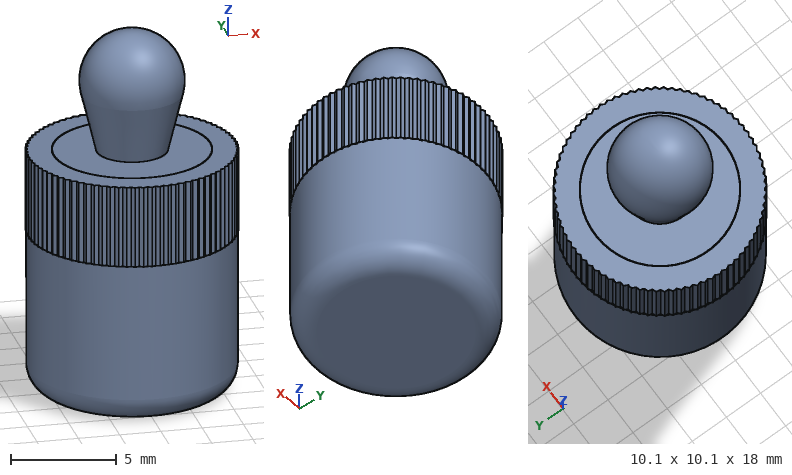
import cadquery as cq
import math

housing_diameter = 10.0
housing_height = 12.0
bottom_fillet = 1.25
collar_bottom = 8.0
knurl_tip_diameter = 10.1
knurl_depth = 0.1
knurl_teeth = 80

recess_diameter = 7.6
seal_diameter = 7.55
seal_thickness = housing_height - collar_bottom

overall_height = 18.0
ball_radius = 2.5
neck_half_angle = math.radians(14)

ball_center = overall_height - ball_radius
tangent_radius = ball_radius * math.cos(neck_half_angle)
tangent_height = ball_center - ball_radius * math.sin(neck_half_angle)
shank_radius = tangent_radius - (tangent_height - housing_height) * math.tan(neck_half_angle)


def knurled_collar():
    """Ring of V-shaped teeth along Z, with a groove on each of the X and Y axes."""
    tip_radius = knurl_tip_diameter / 2
    root_radius = tip_radius - knurl_depth
    half_pitch = math.pi / knurl_teeth
    outline = []
    for step in range(2 * knurl_teeth):
        radius = root_radius if step % 2 == 0 else tip_radius
        angle = step * half_pitch
        outline.append((radius * math.cos(angle), radius * math.sin(angle)))
    return (
        cq.Workplane("XY")
        .workplane(offset=collar_bottom)
        .polyline(outline)
        .close()
        .extrude(housing_height - collar_bottom)
    )


def make_housing():
    """Cup below the collar, with a flat-bottomed recess for the seal."""
    cup = (
        cq.Workplane("XY")
        .circle(housing_diameter / 2)
        .extrude(collar_bottom)
        .faces("<Z")
        .edges()
        .fillet(bottom_fillet)
    )
    recess = (
        cq.Workplane("XY")
        .workplane(offset=housing_height)
        .circle(recess_diameter / 2)
        .extrude(-seal_thickness)
    )
    return cup.union(knurled_collar()).cut(recess)


def make_seal():
    """Disc flush with the top of the housing, with a through hole for the pin."""
    return (
        cq.Workplane("XY")
        .workplane(offset=housing_height - seal_thickness)
        .circle(seal_diameter / 2)
        .circle(shank_radius)
        .extrude(seal_thickness)
    )


def make_pin():
    """Turned pin: shank, tapered neck and ball end."""
    shank_bottom = housing_height - seal_thickness
    return (
        cq.Workplane("XZ")
        .moveTo(0, shank_bottom)
        .lineTo(shank_radius, shank_bottom)
        .lineTo(shank_radius, housing_height)
        .lineTo(tangent_radius, tangent_height)
        .threePointArc((ball_radius, ball_center), (0, overall_height))
        .close()
        .revolve(360, (0, 0, 0), (0, 1, 0))
    )


housing = make_housing()
seal = make_seal()
pin = make_pin()

result = cq.Compound.makeCompound([housing.val(), seal.val(), pin.val()])